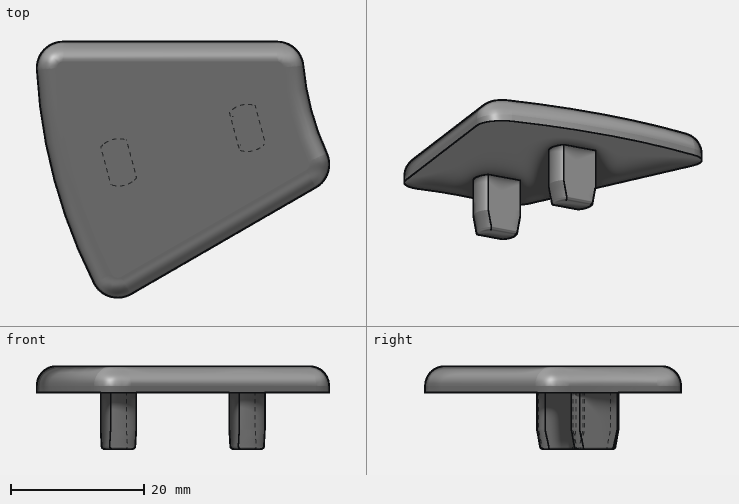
import cadquery as cq
import math

OUTER_RADIUS = 80.0
INNER_RADIUS = 40.0
SECTOR_ANGLE = 30.0
PLATE_THICKNESS = 4.0
CORNER_RADIUS = 4.0
TOP_EDGE_RADIUS = 3.0

PEG_RADII = (50.0, 70.0)
PEG_DIAMETER = 7.1
PEG_WIDTH = 4.0
PEG_LENGTH = 8.5
PEG_STRAIGHT_LENGTH = 5.5
PEG_TAPER_ANGLE = 10.0
PEG_TIP_EDGE_RADIUS = 0.5

START_ANGLE = 180.0
MIDDLE_ANGLE = START_ANGLE + SECTOR_ANGLE / 2
END_ANGLE = START_ANGLE + SECTOR_ANGLE


def polar(radius, angle):
    """Point at a distance from the sector's centre, with the angle in degrees."""
    turn = math.radians(angle)
    return (radius * math.cos(turn), radius * math.sin(turn))


def make_plate():
    """Ring sector with its underside at Z = 0, round corners and a round top edge."""
    sector = (
        cq.Workplane("XY")
        .moveTo(*polar(INNER_RADIUS, START_ANGLE))
        .lineTo(*polar(OUTER_RADIUS, START_ANGLE))
        .threePointArc(polar(OUTER_RADIUS, MIDDLE_ANGLE), polar(OUTER_RADIUS, END_ANGLE))
        .lineTo(*polar(INNER_RADIUS, END_ANGLE))
        .threePointArc(polar(INNER_RADIUS, MIDDLE_ANGLE), polar(INNER_RADIUS, START_ANGLE))
        .close()
        .extrude(PLATE_THICKNESS)
    )
    return sector.edges("|Z").fillet(CORNER_RADIUS).faces(">Z").edges().fillet(TOP_EDGE_RADIUS)


def make_peg(distance):
    """Flat-sided peg below the plate, with conical ends and a rounded tip edge."""
    straight = cq.Workplane("XY").circle(PEG_DIAMETER / 2).extrude(-PEG_STRAIGHT_LENGTH)
    cone = (
        cq.Workplane("XY", origin=(0, 0, -PEG_STRAIGHT_LENGTH))
        .circle(PEG_DIAMETER / 2)
        .extrude(PEG_STRAIGHT_LENGTH - PEG_LENGTH, taper=PEG_TAPER_ANGLE)
    )
    flats = cq.Workplane("XY").rect(PEG_WIDTH, PEG_DIAMETER).extrude(-PEG_LENGTH)
    peg = straight.union(cone).intersect(flats)
    peg = peg.faces("<Z").edges().fillet(PEG_TIP_EDGE_RADIUS)
    x, y = polar(distance, MIDDLE_ANGLE)
    return peg.rotate((0, 0, 0), (0, 0, 1), MIDDLE_ANGLE).translate((x, y, 0))


result = make_plate()
for peg_radius in PEG_RADII:
    result = result.union(make_peg(peg_radius))